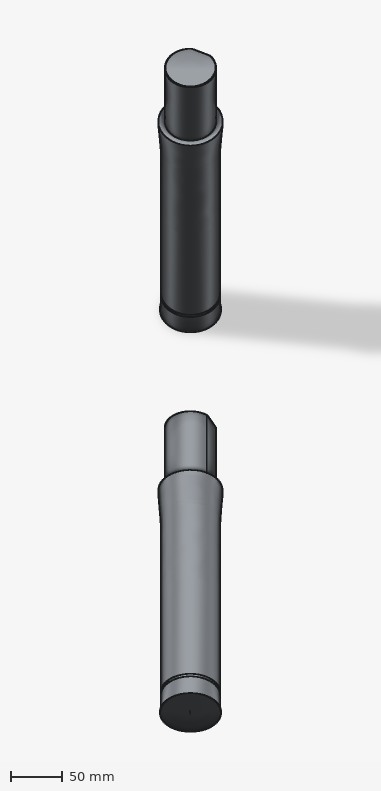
import cadquery as cq

total_height = 360.0
collar_top = 280.5
collar_cone_top = 275.0
collar_cone_bottom = 244.8
taper_top = 240.5
taper_bottom = 147.0
groove_top = 26.5
groove_bottom = 23.5
lip_height = 1.8
dome_middle_height = lip_height / 4

collar_radius = 62.5 / 2
barrel_radius = 58.0 / 2
taper_top_radius = 58.3 / 2
groove_radius = 57.5 / 2
shoulder_radius = 58.5 / 2
lip_radius = 59.8 / 2
lip_fillet = lip_radius - barrel_radius

rod_radius = 50.0 / 2
rod_chamfer = 0.7
rod_bottom = taper_bottom
flat_offset = 22.3
runout_radius = 5.5
flat_collar_gap = 1.0
flat_bottom = collar_top + flat_collar_gap


def make_housing():
    """Revolved barrel with a slight taper, a groove, a flared collar and a blind rod bore."""
    barrel = (
        cq.Workplane("XZ")
        .moveTo(0, 0)
        .threePointArc((lip_radius / 2, dome_middle_height), (lip_radius, lip_height))
        .radiusArc((barrel_radius, lip_height + lip_fillet), lip_fillet)
        .lineTo(barrel_radius, groove_bottom)
        .lineTo(groove_radius, groove_bottom)
        .lineTo(groove_radius, groove_top)
        .lineTo(barrel_radius, groove_top)
        .lineTo(barrel_radius, taper_bottom)
        .lineTo(taper_top_radius, taper_top)
        .lineTo(shoulder_radius, collar_cone_bottom)
        .lineTo(collar_radius, collar_cone_top)
        .lineTo(collar_radius, collar_top)
        .lineTo(0, collar_top)
        .close()
        .revolve(360, (0, 0, 0), (0, 1, 0))
    )
    bore = (
        cq.Workplane("XY")
        .workplane(offset=rod_bottom)
        .circle(rod_radius)
        .extrude(collar_top - rod_bottom)
    )
    return barrel.cut(bore)


def make_rod():
    """Round rod with a chamfered end and a flat on +Y that runs out in an arc above the collar."""
    rod = (
        cq.Workplane("XY")
        .workplane(offset=rod_bottom)
        .circle(rod_radius)
        .extrude(total_height - rod_bottom)
        .faces(">Z")
        .chamfer(rod_chamfer)
    )
    runout_center_y = flat_offset + runout_radius
    flat_cutter = (
        cq.Workplane("YZ")
        .moveTo(flat_offset, total_height)
        .lineTo(flat_offset, flat_bottom + runout_radius)
        .radiusArc((runout_center_y, flat_bottom), -runout_radius)
        .lineTo(runout_center_y, total_height)
        .close()
        .extrude(rod_radius, both=True)
    )
    return rod.cut(flat_cutter)


housing = make_housing()
rod = make_rod()
result = cq.Compound.makeCompound([housing.val(), rod.val()])